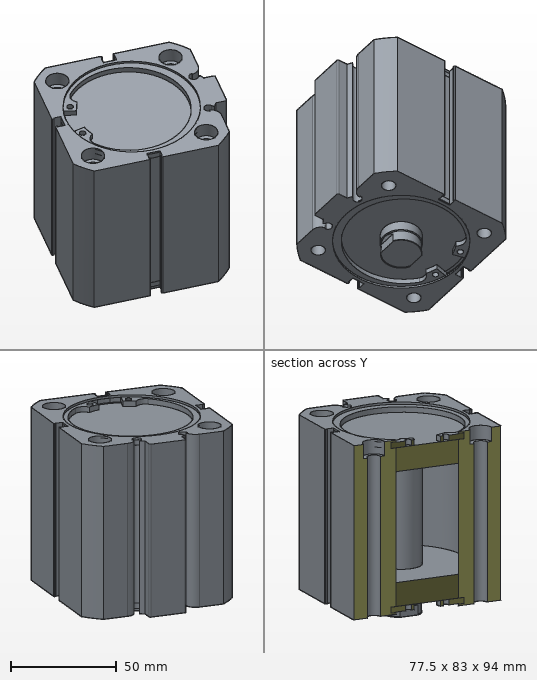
import cadquery as cq
import math

BLOCK_WIDTH = 77.5
HALF_WIDTH = BLOCK_WIDTH / 2
BLOCK_HEIGHT = 86.0
CORNER_RADIUS = 49.5
BORE_RADIUS = 32.5

BOLT_OFFSET = 28.1
BOLT_HOLE_DIAMETER = 6.8
COUNTERBORE_DIAMETER = 11.0
COUNTERBORE_DEPTH = 7.0

SLOT_FLOOR = 34.2
SLOT_HALF_WIDTH = 3.25
SLOT_LIP_HALF_GAP = 2.75
SLOT_LIP_THICKNESS = 1.1
SLOT_MOUTH_CHAMFER_WIDTH = 0.5
SLOT_MOUTH_CHAMFER_DEPTH = 0.25

RAIL_TOP = 83.0 - HALF_WIDTH
RAIL_HALF_WIDTH = 9.4
RAIL_EDGE_ROUND = 0.7
RAIL_HOOK_TIP_X = 11.75
RAIL_HOOK_TIP_Y = 37.35
GROOVE_X = 11.85
GROOVE_Y = 34.4
GROOVE_RADIUS = 2.2
GROOVE_EXIT_ANGLE = math.radians(125)
GROOVE_LIP_X = 13.45
SHOULDER_END_X = 18.4
SHOULDER_RADIUS = 5.0

RING_RADIUS = 34.0
RING_THICKNESS = 2.7
RING_INSET = 1.1
RING_INNER_RADIUS = 29.6
RING_INNER_SHIFT = 1.5
LUG_INNER_RADIUS = 26.2
LUG_TIP_ANGLE = math.radians(27.3)
LUG_GAP_ANGLE = math.radians(13.7)
LUG_HOLE_RADIUS = 29.2
LUG_HOLE_ANGLE = math.radians(19.8)
LUG_HOLE_DIAMETER = 3.0
LUG_NECK_X = 18.7
LUG_NECK_MID = (16.0, -25.4)

COVER_THICKNESS = 12.0
COVER_INSET = RING_INSET + RING_THICKNESS

ROD_RADIUS = 10.0
ROD_EXTENSION = 8.0
ROD_SHOULDER_LENGTH = 1.4
ROD_SHOULDER_CHAMFER = 0.4
ROD_END_RADIUS = 9.55
ROD_RIM_RADIUS = 9.8
ROD_RIM_HEIGHT = 0.4
FLAT_HALF_WIDTH = 8.35


def polar_from_minus_y(radius, angle):
    """Point at an angle from the -Y axis, on the +X side for positive angles."""
    return (radius * math.sin(angle), -radius * math.cos(angle))


def rail_cutter():
    """Area removed beside the rail on the +X side of the +Y face."""
    groove_exit = (
        GROOVE_X + GROOVE_RADIUS * math.cos(GROOVE_EXIT_ANGLE),
        GROOVE_Y + GROOVE_RADIUS * math.sin(GROOVE_EXIT_ANGLE),
    )
    return (
        cq.Workplane("XY")
        .moveTo(RAIL_HALF_WIDTH, RAIL_TOP)
        .lineTo(RAIL_HALF_WIDTH, HALF_WIDTH)
        .lineTo(RAIL_HOOK_TIP_X, RAIL_HOOK_TIP_Y)
        .lineTo(*groove_exit)
        .threePointArc((GROOVE_X, GROOVE_Y - GROOVE_RADIUS), (GROOVE_X + GROOVE_RADIUS, GROOVE_Y))
        .lineTo(GROOVE_LIP_X, GROOVE_Y)
        .radiusArc((SHOULDER_END_X, HALF_WIDTH), SHOULDER_RADIUS)
        .lineTo(SHOULDER_END_X, RAIL_TOP)
        .close()
        .extrude(BLOCK_HEIGHT)
    )


def slot_cutter():
    """Lipped slot along Z, open on the -Y face."""
    lip_inside = -HALF_WIDTH + SLOT_LIP_THICKNESS
    mouth_half_width = SLOT_LIP_HALF_GAP + SLOT_MOUTH_CHAMFER_WIDTH
    right_side = [
        (mouth_half_width, -HALF_WIDTH),
        (SLOT_LIP_HALF_GAP, -HALF_WIDTH + SLOT_MOUTH_CHAMFER_DEPTH),
        (SLOT_LIP_HALF_GAP, lip_inside),
        (SLOT_HALF_WIDTH, lip_inside),
        (SLOT_HALF_WIDTH, -SLOT_FLOOR),
    ]
    left_side = [(-x, y) for x, y in reversed(right_side)]
    return cq.Workplane("XY").polyline(right_side + left_side).close().extrude(BLOCK_HEIGHT)


def ring_bottoms():
    """Lower faces of the bottom and the top retaining ring."""
    return [RING_INSET, BLOCK_HEIGHT - RING_INSET - RING_THICKNESS]


def make_housing():
    block = cq.Workplane("XY").rect(BLOCK_WIDTH, BLOCK_WIDTH).extrude(BLOCK_HEIGHT)
    corners = cq.Workplane("XY").circle(CORNER_RADIUS).extrude(BLOCK_HEIGHT)
    body = block.intersect(corners)

    rail = (
        cq.Workplane("XY")
        .rect(2 * SHOULDER_END_X, RAIL_TOP)
        .extrude(BLOCK_HEIGHT)
        .translate((0, RAIL_TOP / 2, 0))
    )
    body = body.union(rail)
    right_flank = rail_cutter()
    body = body.cut(right_flank).cut(right_flank.mirror("YZ"))
    rail_edges = cq.selectors.BoxSelector(
        (-RAIL_HALF_WIDTH - 1, RAIL_TOP - 1, 0),
        (RAIL_HALF_WIDTH + 1, RAIL_TOP + 1, BLOCK_HEIGHT),
    )
    body = body.edges("|Z").edges(rail_edges).fillet(RAIL_EDGE_ROUND)

    for angle in (-90, 0, 90):
        body = body.cut(slot_cutter().rotate((0, 0, 0), (0, 0, 1), angle))

    body = (
        body.faces(">Z")
        .workplane(origin=(0, 0, BLOCK_HEIGHT))
        .rect(2 * BOLT_OFFSET, 2 * BOLT_OFFSET, forConstruction=True)
        .vertices()
        .cboreHole(BOLT_HOLE_DIAMETER, COUNTERBORE_DIAMETER, COUNTERBORE_DEPTH)
    )
    body = body.cut(cq.Workplane("XY").circle(BORE_RADIUS).extrude(BLOCK_HEIGHT))
    for bottom in ring_bottoms():
        groove = cq.Workplane("XY").workplane(offset=bottom).circle(RING_RADIUS).extrude(RING_THICKNESS)
        body = body.cut(groove)
    return body


def make_retaining_ring(bottom):
    neck_drop = math.sqrt(RING_INNER_RADIUS**2 - LUG_NECK_X**2)
    neck = (LUG_NECK_X, -RING_INNER_SHIFT - neck_drop)
    outer_gap = polar_from_minus_y(RING_RADIUS, LUG_GAP_ANGLE)
    inner_gap = polar_from_minus_y(LUG_INNER_RADIUS, LUG_GAP_ANGLE)
    lug_middle = polar_from_minus_y(LUG_INNER_RADIUS, (LUG_GAP_ANGLE + LUG_TIP_ANGLE) / 2)
    lug_tip = polar_from_minus_y(LUG_INNER_RADIUS, LUG_TIP_ANGLE)

    def mirrored(point):
        return (-point[0], point[1])

    return (
        cq.Workplane("XY")
        .workplane(offset=bottom)
        .moveTo(*outer_gap)
        .threePointArc((0, RING_RADIUS), mirrored(outer_gap))
        .lineTo(*mirrored(inner_gap))
        .threePointArc(mirrored(lug_middle), mirrored(lug_tip))
        .threePointArc(mirrored(LUG_NECK_MID), mirrored(neck))
        .threePointArc((0, RING_INNER_RADIUS - RING_INNER_SHIFT), neck)
        .threePointArc(LUG_NECK_MID, lug_tip)
        .threePointArc(lug_middle, inner_gap)
        .close()
        .extrude(RING_THICKNESS)
    )


def drill_lugs(ring):
    hole = polar_from_minus_y(LUG_HOLE_RADIUS, LUG_HOLE_ANGLE)
    holes = (
        cq.Workplane("XY")
        .pushPoints([hole, (-hole[0], hole[1])])
        .circle(LUG_HOLE_DIAMETER / 2)
        .extrude(BLOCK_HEIGHT)
    )
    return ring.cut(holes)


def make_head_cover():
    top = BLOCK_HEIGHT - COVER_INSET
    return cq.Workplane("XY").workplane(offset=top).circle(BORE_RADIUS).extrude(-COVER_THICKNESS)


def make_rod_cover():
    return (
        cq.Workplane("XY")
        .workplane(offset=COVER_INSET)
        .circle(BORE_RADIUS)
        .circle(ROD_RADIUS)
        .extrude(COVER_THICKNESS)
    )


def make_rod():
    """Stepped rod, reaching up to the head cover, with two wrench flats at its lower end."""
    rod_top = BLOCK_HEIGHT - COVER_INSET - COVER_THICKNESS
    shoulder = -ROD_SHOULDER_LENGTH
    tip = -ROD_EXTENSION
    profile = [
        (0, tip),
        (ROD_RIM_RADIUS, tip),
        (ROD_RIM_RADIUS, tip + ROD_RIM_HEIGHT),
        (ROD_END_RADIUS, tip + ROD_RIM_HEIGHT),
        (ROD_END_RADIUS, shoulder - ROD_SHOULDER_CHAMFER),
        (ROD_RADIUS, shoulder),
        (ROD_RADIUS, rod_top),
        (0, rod_top),
    ]
    rod = cq.Workplane("XZ").polyline(profile).close().revolve(360, (0, 0, 0), (0, 1, 0))

    flat_depth = ROD_RADIUS - FLAT_HALF_WIDTH
    flat_cutter = (
        cq.Workplane("YZ")
        .polyline([
            (FLAT_HALF_WIDTH, tip),
            (FLAT_HALF_WIDTH, shoulder - flat_depth),
            (ROD_RADIUS, shoulder),
            (ROD_RADIUS, tip),
        ])
        .close()
        .extrude(ROD_RADIUS, both=True)
    )
    return rod.cut(flat_cutter).cut(flat_cutter.mirror("XZ"))


housing = make_housing()
head_cover = make_head_cover()
rod_cover = make_rod_cover()
rod = make_rod()
retaining_rings = [drill_lugs(make_retaining_ring(bottom)) for bottom in ring_bottoms()]

result = cq.Compound.makeCompound([
    housing.val(),
    head_cover.val(),
    rod_cover.val(),
    rod.val(),
    *[ring.val() for ring in retaining_rings],
])